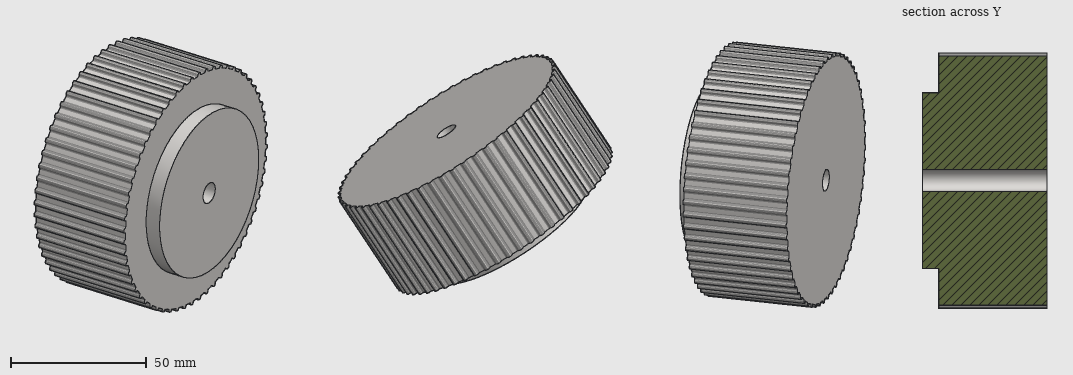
import cadquery as cq
import math

OUTER_SIZE = 94.2
TOOTH_COUNT = 60
TOOTH_HEIGHT = 1.1
TIP_WIDTH = 1.3
FLANK_ANGLE = math.radians(22)
TIP_FILLET = 0.7
ROOT_FILLET = 0.4
BODY_LENGTH = 40.0
HUB_LENGTH = 6.0
HUB_DIAMETER = 65.0
BORE_DIAMETER = 8.0

PITCH_ANGLE = 2 * math.pi / TOOTH_COUNT
BASE_WIDTH = TIP_WIDTH + 2 * TOOTH_HEIGHT * math.tan(FLANK_ANGLE)

TIP_LAND = TIP_WIDTH - 2 * TIP_FILLET * math.tan((math.pi / 2 - FLANK_ANGLE) / 2)
LAND_EDGE_ANGLE = PITCH_ANGLE / 2 - TIP_LAND / OUTER_SIZE
TIP_RADIUS = OUTER_SIZE / 2 / math.cos(LAND_EDGE_ANGLE)
ROOT_RADIUS = TIP_RADIUS - TOOTH_HEIGHT


def polar(radius, angle):
    return radius * math.cos(angle), radius * math.sin(angle)


def axis_distance(edge):
    center = edge.Center()
    return math.hypot(center.y, center.z)


def lies_at_tip(edge):
    return math.isclose(axis_distance(edge), TIP_RADIUS)


def lies_at_root(edge):
    return math.isclose(axis_distance(edge), ROOT_RADIUS)


def toothed_body():
    """Straight-toothed body, with tooth gaps centred on the Y and Z axes."""
    tip_half_angle = TIP_WIDTH / 2 / TIP_RADIUS
    base_half_angle = BASE_WIDTH / 2 / ROOT_RADIUS

    outline = cq.Workplane("YZ").moveTo(*polar(ROOT_RADIUS, PITCH_ANGLE / 2 - base_half_angle))
    for tooth in range(TOOTH_COUNT):
        center = (tooth + 0.5) * PITCH_ANGLE
        gap_center = center + PITCH_ANGLE / 2
        next_base = center + PITCH_ANGLE - base_half_angle
        outline = (
            outline
            .lineTo(*polar(TIP_RADIUS, center - tip_half_angle))
            .threePointArc(polar(TIP_RADIUS, center), polar(TIP_RADIUS, center + tip_half_angle))
            .lineTo(*polar(ROOT_RADIUS, center + base_half_angle))
            .threePointArc(polar(ROOT_RADIUS, gap_center), polar(ROOT_RADIUS, next_base))
        )
    body = outline.close().extrude(BODY_LENGTH)

    body = body.edges("|X").filter(lies_at_tip).fillet(TIP_FILLET)
    return body.edges("|X").filter(lies_at_root).fillet(ROOT_FILLET)


def hub():
    """Plain round hub on the +X face of the body."""
    return cq.Workplane("YZ", origin=(BODY_LENGTH, 0, 0)).circle(HUB_DIAMETER / 2).extrude(HUB_LENGTH)


def bore():
    """Cylinder removed along the whole axis."""
    return cq.Workplane("YZ").circle(BORE_DIAMETER / 2).extrude(BODY_LENGTH + HUB_LENGTH)


result = toothed_body().union(hub()).cut(bore())